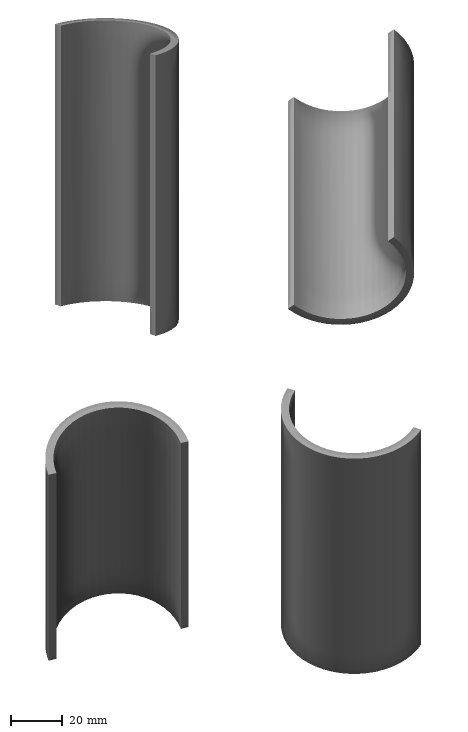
import cadquery as cq

length = 114.3
outer_radius = 28.6
wall = 3.2
inner_radius = outer_radius - wall

result = (
    cq.Workplane("XY")
    .moveTo(-outer_radius, 0)
    .threePointArc((0, outer_radius), (outer_radius, 0))
    .lineTo(inner_radius, 0)
    .threePointArc((0, inner_radius), (-inner_radius, 0))
    .close()
    .extrude(length)
)